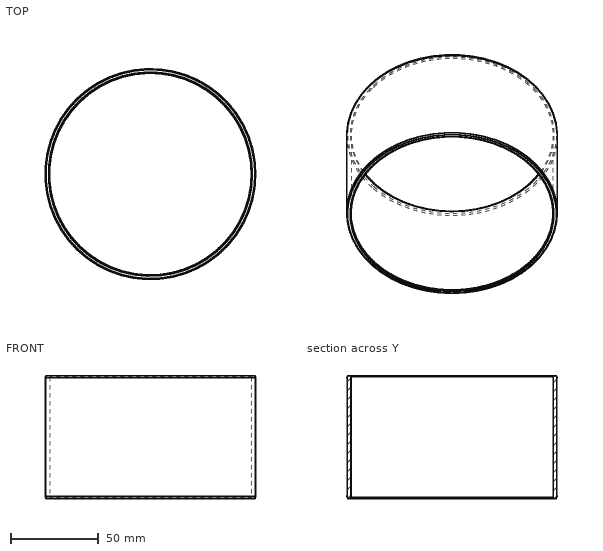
import cadquery as cq

outer_radius = 60.0
wall = 2.5
height = 70.0
inner_radius = outer_radius - wall

outer_bevel_height = 1.2
outer_bevel_width = 0.5
inner_bevel = 0.6

wall_section = (
    cq.Workplane("XZ")
    .moveTo(inner_radius + inner_bevel, 0)
    .lineTo(outer_radius - outer_bevel_width, 0)
    .lineTo(outer_radius, outer_bevel_height)
    .lineTo(outer_radius, height - outer_bevel_height)
    .lineTo(outer_radius - outer_bevel_width, height)
    .lineTo(inner_radius + inner_bevel, height)
    .lineTo(inner_radius, height - inner_bevel)
    .lineTo(inner_radius, inner_bevel)
    .close()
)

result = wall_section.revolve(360, (0, 0, 0), (0, 1, 0))